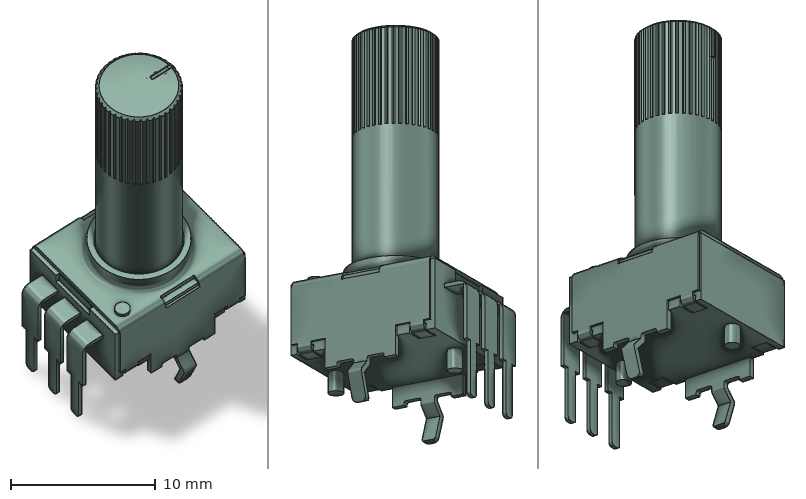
import cadquery as cq

BASE_WIDTH = 9.48
BASE_HEIGHT = 5.15
BASE_REAR_Y = 5.62
BASE_FRONT_Y = -5.85
FRONT_NOTCH_WIDTH = 3.75
FRONT_NOTCH_DEPTH = 0.25
FRONT_NOTCH_HEIGHT = 0.7
PEG_RADIUS = 0.55
PEG_LENGTH = 1.48
PEG_SPACING = 9.48
RIVET_RADIUS = 0.55
RIVET_TOP_Z = 5.73
RIVET_X = 3.6
RIVET_Y = 4.32

SHEET = 0.43
COVER_WIDTH = 9.82
COVER_LENGTH = 11.02
COVER_TOP_Z = 5.48
COVER_SIDE_BOTTOM_Z = 0.7
BEND_RADIUS = 0.65
WINDOW_LENGTH = 2.98
CRIMP_WIDTH = 1.08
CRIMP_Y = 4.49
CRIMP_BEND_RADIUS = 0.57
CRIMP_REACH = 0.97
CRIMP_RECESS_WIDTH = 1.33
CRIMP_RECESS_HEIGHT = 0.48
SKIRT_LENGTH = 5.62
SKIRT_BOTTOM_Z = -1.48
SKIRT_NOTCH_OUTER_Y = 1.87
SKIRT_NOTCH_TOP_Z = -1.15
SKIRT_NOTCH_FILLET = 0.17
LEG_WIDTH = 1.08
LEG_ELBOW_Z = -1.6
LEG_KNEE_X = 5.5
LEG_KNEE_Z = -2.4
LEG_TIP_X = 4.8
LEG_TIP_Z = -4.4
LEG_TIP_FILLET = 0.37

BUSHING_RADIUS = 3.6
BUSHING_TOP_Z = 6.53
BUSHING_FILLET = 0.5
BUSHING_BORE_RADIUS = 3.12

SHAFT_RADIUS = 3.0
SHAFT_TOP_Z = 23.73
SHAFT_CHAMFER_WIDTH = 0.25
SHAFT_CHAMFER_HEIGHT = 0.2
KNURL_LENGTH = 7.27
KNURL_COUNT = 40
KNURL_WIDTH = 0.23
KNURL_DEPTH = 0.1

POINTER_SLOT_WIDTH = 0.28
POINTER_SLOT_DEPTH = 0.09
POINTER_SLOT_INNER_Y = 1.08
POINTER_WIDTH = 0.57
POINTER_INNER_Y = 0.85
POINTER_SHOULDER_Y = 2.85
POINTER_OUTER_Y = 3.07
POINTER_BOTTOM_Z = 21.35
POINTER_SLOPE_Y = 2.58
POINTER_SLOPE_DROP = 0.17

TERMINAL_PITCH = 2.5
TERMINAL_THICKNESS = 0.28
TERMINAL_TOP_Z = 3.7
TERMINAL_OUTER_Y = -7.65
TERMINAL_BEND_RADIUS = 0.68
TERMINAL_WIDTH = 1.75
TERMINAL_SHOULDER_Z = -0.62
TERMINAL_TIP_Z = -4.65
PIN_WIDTH = 0.85
PIN_TIP_FILLET = 0.28

SHEET_UNDERSIDE_Z = COVER_TOP_Z - SHEET
INNER_BEND_RADIUS = BEND_RADIUS - SHEET
BEND_START_Z = COVER_TOP_Z - BEND_RADIUS
CRIMP_INNER_X = COVER_WIDTH / 2 - CRIMP_BEND_RADIUS - CRIMP_REACH
SHEET_MID_X = (COVER_WIDTH - SHEET) / 2
SIDES = (-1, 1)


def block(x_range, y_range, z_range):
    """Box between two limits along each axis."""
    (x0, x1), (y0, y1), (z0, z1) = x_range, y_range, z_range
    return cq.Workplane("XY").box(x1 - x0, y1 - y0, z1 - z0, centered=False).translate((x0, y0, z0))


def centered(width, middle=0):
    """Limits of a span of the given width about its middle."""
    return (middle - width / 2, middle + width / 2)


def post(radius, z_range):
    """Vertical cylinder on the Z axis."""
    z0, z1 = z_range
    return cq.Workplane("XY").workplane(offset=z0).circle(radius).extrude(z1 - z0)


def cover_channel():
    """Top and two sides of the cover, with rounded bends."""
    height = COVER_TOP_Z - COVER_SIDE_BOTTOM_Z
    outer = block(centered(COVER_WIDTH), centered(COVER_LENGTH), (COVER_SIDE_BOTTOM_Z, COVER_TOP_Z))
    outer = outer.edges("|Y and >Z").fillet(BEND_RADIUS)
    inner = outer.faces("<Z").workplane().rect(COVER_WIDTH - 2 * SHEET, COVER_LENGTH)
    inner = inner.extrude(-(height - SHEET), combine=False).edges("|Y and >Z").fillet(INNER_BEND_RADIUS)
    return outer.cut(inner)


def bend_window():
    """Cutter for the opening in the middle of the +X upper bend."""
    return block(
        (COVER_WIDTH / 2 - BEND_RADIUS, COVER_WIDTH / 2),
        centered(WINDOW_LENGTH),
        (BEND_START_Z, COVER_TOP_Z),
    )


def crimp_tab(y):
    """Tab that continues the +X side downward and is folded under the base."""
    half_width = COVER_WIDTH / 2
    span = centered(CRIMP_WIDTH, y)
    tab = block((CRIMP_INNER_X, half_width), span, (0, COVER_SIDE_BOTTOM_Z))
    tab = tab.edges("|Y and >X and <Z").fillet(CRIMP_BEND_RADIUS)
    space = block((CRIMP_INNER_X, half_width - SHEET), span, (SHEET, COVER_SIDE_BOTTOM_Z))
    return tab.cut(space.edges("|Y and >X and <Z").fillet(CRIMP_BEND_RADIUS - SHEET))


def skirt():
    """Plate below the +X side, with a notch on each side of the leg."""
    sheet_span = centered(SHEET, SHEET_MID_X)
    plate = block(sheet_span, centered(SKIRT_LENGTH), (SKIRT_BOTTOM_Z, COVER_SIDE_BOTTOM_Z))
    notches = block(
        sheet_span, centered(2 * SKIRT_NOTCH_OUTER_Y), (SKIRT_BOTTOM_Z, SKIRT_NOTCH_TOP_Z)
    ).cut(block(sheet_span, centered(LEG_WIDTH), (SKIRT_BOTTOM_Z, SKIRT_NOTCH_TOP_Z)))
    return plate.cut(notches.edges("|X and >Z").fillet(SKIRT_NOTCH_FILLET))


def spring_leg():
    """Leg that bends outward at the elbow and back inward at the knee, with a rounded tip."""
    path = cq.Workplane("XZ").polyline(
        [
            (SHEET_MID_X, SKIRT_NOTCH_TOP_Z),
            (SHEET_MID_X, LEG_ELBOW_Z),
            (LEG_KNEE_X, LEG_KNEE_Z),
            (LEG_TIP_X, LEG_TIP_Z),
        ]
    )
    start = cq.Workplane("XY").workplane(offset=SKIRT_NOTCH_TOP_Z).center(SHEET_MID_X, 0)
    strip = start.rect(SHEET, LEG_WIDTH).sweep(path, transition="round")
    box = strip.val().BoundingBox()
    outline = block((box.xmin, box.xmax), centered(LEG_WIDTH), (box.zmin, box.zmax))
    return strip.intersect(outline.edges("|X and <Z").fillet(LEG_TIP_FILLET))


def bushing():
    """Collar around the shaft that flares into the top of the cover."""
    return (
        cq.Workplane("XZ")
        .moveTo(0, SHEET_UNDERSIDE_Z)
        .lineTo(BUSHING_RADIUS + BUSHING_FILLET, SHEET_UNDERSIDE_Z)
        .lineTo(BUSHING_RADIUS + BUSHING_FILLET, COVER_TOP_Z)
        .radiusArc((BUSHING_RADIUS, COVER_TOP_Z + BUSHING_FILLET), BUSHING_FILLET)
        .lineTo(BUSHING_RADIUS, BUSHING_TOP_Z)
        .lineTo(0, BUSHING_TOP_Z)
        .close()
        .revolve(360, (0, 0), (0, 1))
    )


def make_cover():
    right_side = skirt().union(spring_leg())
    for side in SIDES:
        right_side = right_side.union(crimp_tab(side * CRIMP_Y))
    cover = cover_channel().union(right_side).union(right_side.mirror("YZ"))
    cover = cover.cut(bend_window()).cut(bend_window().mirror("YZ"))
    cover = cover.union(bushing())
    cover = cover.cut(post(BUSHING_BORE_RADIUS, (SHEET_UNDERSIDE_Z, BUSHING_TOP_Z)))
    return cover.cut(rivets())


def rivets():
    """Two posts on a diagonal that pass up through the cover."""
    rivet = post(RIVET_RADIUS, (SHEET_UNDERSIDE_Z, RIVET_TOP_Z))
    return rivet.translate((-RIVET_X, RIVET_Y, 0)).union(rivet.translate((RIVET_X, -RIVET_Y, 0)))


def front_notch():
    """Cutter for the opening in the top of the front wall."""
    return block(
        centered(FRONT_NOTCH_WIDTH),
        (BASE_FRONT_Y, BASE_FRONT_Y + FRONT_NOTCH_DEPTH),
        (BASE_HEIGHT - FRONT_NOTCH_HEIGHT, BASE_HEIGHT),
    )


def crimp_recess(side, y):
    """Cutter for the pocket in the base's lower edge that takes one crimp tab."""
    recess = block(
        (CRIMP_INNER_X, COVER_WIDTH / 2),
        centered(CRIMP_RECESS_WIDTH, y),
        (0, CRIMP_RECESS_HEIGHT),
    )
    return recess if side > 0 else recess.mirror("YZ")


def make_base(cover):
    """Block whose sides and top are stepped back exactly where the cover lies on it."""
    base = block(centered(BASE_WIDTH), (BASE_FRONT_Y, BASE_REAR_Y), (0, BASE_HEIGHT))
    base = base.cut(front_notch())
    for side in SIDES:
        base = base.union(post(PEG_RADIUS, (-PEG_LENGTH, 0)).translate((0, side * PEG_SPACING / 2, 0)))
        for y in (-CRIMP_Y, CRIMP_Y):
            base = base.cut(crimp_recess(side, y))
    base = base.cut(post(BUSHING_BORE_RADIUS, (SHEET_UNDERSIDE_Z, BASE_HEIGHT)))
    return base.union(rivets()).cut(cover)


def pointer_inlay():
    """Upright insert below the pointer slot, with a rib that shows on the side of the shaft."""
    top_z = SHAFT_TOP_Z - POINTER_SLOT_DEPTH
    z_range = (POINTER_BOTTOM_Z, top_z)
    insert = block(centered(POINTER_WIDTH), (POINTER_INNER_Y, POINTER_SHOULDER_Y), z_range)
    rib = block(centered(POINTER_SLOT_WIDTH), (POINTER_SHOULDER_Y, POINTER_OUTER_Y), z_range)
    slope = (
        cq.Workplane("YZ")
        .polyline(
            [
                (POINTER_SLOPE_Y, top_z),
                (POINTER_OUTER_Y, top_z),
                (POINTER_OUTER_Y, top_z - POINTER_SLOPE_DROP),
            ]
        )
        .close()
        .extrude(POINTER_WIDTH / 2, both=True)
    )
    return insert.union(rib).cut(slope)


def pointer_slot():
    """Cutter for the slot that runs out through the rim of the shaft's top."""
    return block(
        centered(POINTER_SLOT_WIDTH),
        (POINTER_SLOT_INNER_Y, SHAFT_RADIUS),
        (SHAFT_TOP_Z - POINTER_SLOT_DEPTH, SHAFT_TOP_Z),
    )


def knurl_grooves():
    """V grooves spaced evenly around the upper end of the shaft, the first one at +X.

    Each wedge reaches as far outside the surface as inside, where it is twice as wide as at the surface.
    """
    groove = (
        cq.Workplane("XY")
        .workplane(offset=SHAFT_TOP_Z - KNURL_LENGTH)
        .polyline(
            [
                (SHAFT_RADIUS - KNURL_DEPTH, 0),
                (SHAFT_RADIUS + KNURL_DEPTH, KNURL_WIDTH),
                (SHAFT_RADIUS + KNURL_DEPTH, -KNURL_WIDTH),
            ]
        )
        .close()
        .extrude(KNURL_LENGTH)
        .val()
    )
    step = 360 / KNURL_COUNT
    axis = (cq.Vector(0, 0, 0), cq.Vector(0, 0, 1))
    return [groove.rotate(*axis, i * step) for i in range(KNURL_COUNT)]


def make_shaft():
    shaft = post(SHAFT_RADIUS, (SHEET_UNDERSIDE_Z, SHAFT_TOP_Z))
    shaft = shaft.faces(">Z").edges().chamfer(SHAFT_CHAMFER_HEIGHT, SHAFT_CHAMFER_WIDTH)
    grooved = shaft.val().cut(*knurl_grooves())
    return cq.Workplane(grooved).cut(pointer_slot()).cut(pointer_inlay())


def make_terminal(x):
    profile = (
        cq.Workplane("YZ")
        .moveTo(BASE_FRONT_Y, TERMINAL_TOP_Z)
        .lineTo(TERMINAL_OUTER_Y, TERMINAL_TOP_Z)
        .lineTo(TERMINAL_OUTER_Y, TERMINAL_TIP_Z)
        .lineTo(TERMINAL_OUTER_Y + TERMINAL_THICKNESS, TERMINAL_TIP_Z)
        .lineTo(TERMINAL_OUTER_Y + TERMINAL_THICKNESS, TERMINAL_TOP_Z - TERMINAL_THICKNESS)
        .lineTo(BASE_FRONT_Y, TERMINAL_TOP_Z - TERMINAL_THICKNESS)
        .close()
    )
    strip = profile.extrude(TERMINAL_WIDTH / 2, both=True)
    strip = strip.edges("|X and <Y and >Z").fillet(TERMINAL_BEND_RADIUS)
    y_span = (TERMINAL_OUTER_Y, BASE_FRONT_Y)
    blade = block(centered(TERMINAL_WIDTH), y_span, (TERMINAL_SHOULDER_Z, TERMINAL_TOP_Z))
    pin = block(centered(PIN_WIDTH), y_span, (TERMINAL_TIP_Z, TERMINAL_SHOULDER_Z))
    pin = pin.edges("|Y and <Z").fillet(PIN_TIP_FILLET)
    return strip.intersect(blade.union(pin)).translate((x, 0, 0))


cover = make_cover()
base = make_base(cover)
shaft = make_shaft()
pointer = pointer_inlay()
terminals = [make_terminal(position * TERMINAL_PITCH) for position in (-1, 0, 1)]

bodies = [cover, base, shaft, pointer, *terminals]
result = cq.Compound.makeCompound([body.solids().val() for body in bodies])